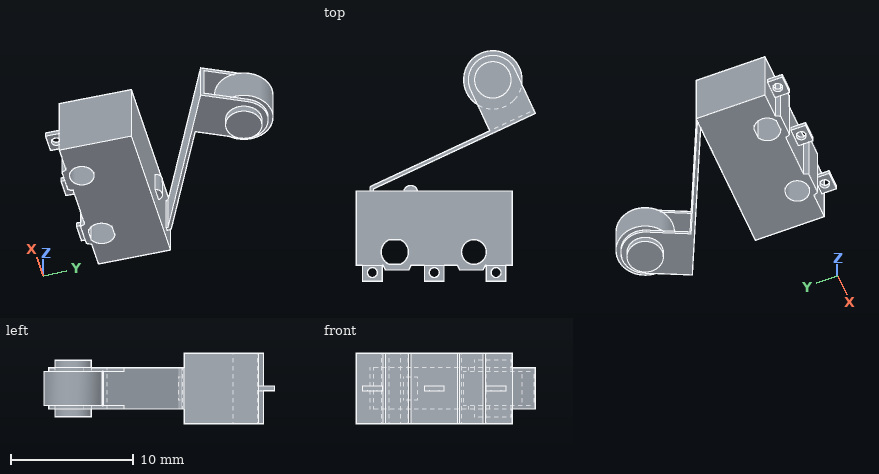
import cadquery as cq
import math

case_length = 12.81
case_height = 6.1
case_depth = 5.8

rib_centers = (3.36, 9.45)
rib_base_width = 2.29
rib_tip_width = 1.9
rib_height = 0.4

mount_y = 1.1
mount_diameter = 2.0
round_hole_x = 9.65
flatted_hole_x = 3.18
flatted_hole_diameter = 2.21

terminal_pitch = 5.07
terminal_width = 1.63
terminal_reach = 1.3
terminal_thickness = 0.42
terminal_hole_diameter = 0.8
terminal_hole_drop = 0.59

plunger_x = 4.48
plunger_radius = 0.59
plunger_rise = 0.45
plunger_width = 1.89

overall_height = 18.9
roller_radius = 2.4
roller_x = 11.2
roller_y = overall_height - terminal_reach - roller_radius
axle_radius = 1.5
axle_length = 4.65

lever_angle = 25.0
lever_width = 3.4
sheet = 0.3
ear_radius = 2.0
ear_drop = 3.97
tab_x = 1.13
tab_depth = 0.38
bend_radius = 0.23
roller_width = lever_width - 2 * sheet


def centered_prism(sketch, width):
    """Extrude an XY outline by the given width, half to each side of Z = 0."""
    return sketch.extrude(width).translate((0, 0, -width / 2))


def lever_point(along, above):
    """Point measured from the axle, along the lever and square to it."""
    angle = math.radians(lever_angle)
    return (
        roller_x + along * math.cos(angle) - above * math.sin(angle),
        roller_y + along * math.sin(angle) + above * math.cos(angle),
    )


def make_rib(x):
    outline = cq.Workplane("XY").polyline([
        (x - rib_base_width / 2, 0),
        (x - rib_tip_width / 2, -rib_height),
        (x + rib_tip_width / 2, -rib_height),
        (x + rib_base_width / 2, 0),
    ]).close()
    return centered_prism(outline, case_depth)


def make_mounting_holes():
    round_hole = centered_prism(
        cq.Workplane("XY").center(round_hole_x, mount_y).circle(mount_diameter / 2), case_depth
    )
    wide_hole = centered_prism(
        cq.Workplane("XY").center(flatted_hole_x, mount_y).circle(flatted_hole_diameter / 2), case_depth
    )
    between_flats = cq.Workplane("XY").box(flatted_hole_diameter, mount_diameter, case_depth)
    flatted_hole = wide_hole.intersect(between_flats.translate((flatted_hole_x, mount_y, 0)))
    return round_hole.union(flatted_hole)


def make_case():
    outline = cq.Workplane("XY").rect(case_length, case_height, centered=False)
    case = centered_prism(outline, case_depth)
    for x in rib_centers:
        case = case.union(make_rib(x))
    return case.cut(make_mounting_holes())


def make_terminal(x):
    blade = cq.Workplane("XY").box(terminal_width, terminal_reach, terminal_thickness)
    blade = blade.translate((x, -terminal_reach / 2, 0))
    hole = cq.Workplane("XY").center(x, -terminal_hole_drop).circle(terminal_hole_diameter / 2)
    return blade.cut(centered_prism(hole, terminal_thickness))


def make_plunger():
    center_y = case_height + plunger_rise - plunger_radius
    outline = cq.Workplane("XY").center(plunger_x, center_y).circle(plunger_radius)
    return centered_prism(outline, plunger_width)


def make_strip():
    """Sloping strip with a vertical tab, rounded on the outside of the bend."""
    underside_end = lever_point(ear_radius, -ear_drop)
    topside_end = lever_point(ear_radius, -ear_drop + sheet)
    slope = math.tan(math.radians(lever_angle))
    tab_inner_x = tab_x + sheet
    inner_corner_y = underside_end[1] - slope * (underside_end[0] - tab_inner_x)
    outer_corner_y = topside_end[1] - slope * (topside_end[0] - tab_x)
    tab_bottom_y = case_height - tab_depth
    outline = cq.Workplane("XY").polyline([
        (tab_x, tab_bottom_y),
        (tab_inner_x, tab_bottom_y),
        (tab_inner_x, inner_corner_y),
        underside_end,
        topside_end,
        (tab_x, outer_corner_y),
    ]).close()
    bend_edge = cq.selectors.NearestToPointSelector((tab_x, outer_corner_y, 0))
    return centered_prism(outline, lever_width).edges("|Z").edges(bend_edge).fillet(bend_radius)


def make_ears():
    outline = (
        cq.Workplane("XY")
        .moveTo(*lever_point(-ear_radius, -ear_drop))
        .lineTo(*lever_point(ear_radius, -ear_drop))
        .lineTo(*lever_point(ear_radius, 0))
        .threePointArc(lever_point(0, ear_radius), lever_point(-ear_radius, 0))
        .close()
    )
    gap = cq.Workplane("XY").center(roller_x, roller_y).rect(4 * ear_drop, 4 * ear_drop)
    axle_hole = cq.Workplane("XY").center(roller_x, roller_y).circle(axle_radius)
    ears = centered_prism(outline, lever_width).cut(centered_prism(gap, roller_width))
    return ears.cut(centered_prism(axle_hole, lever_width))


def make_switch():
    """Case with its terminals, plunger and lever, all one solid."""
    switch = make_case()
    for step in (-1, 0, 1):
        switch = switch.union(make_terminal(case_length / 2 + step * terminal_pitch))
    return switch.union(make_plunger()).union(make_strip()).union(make_ears())


def make_roller():
    """Roller and axle in one piece, the axle filling the ear holes."""
    roller = cq.Workplane("XY").center(roller_x, roller_y).circle(roller_radius)
    axle = cq.Workplane("XY").center(roller_x, roller_y).circle(axle_radius)
    return centered_prism(roller, roller_width).union(centered_prism(axle, axle_length))


switch = make_switch()
roller = make_roller()
result = cq.Compound.makeCompound([switch.val(), roller.val()])